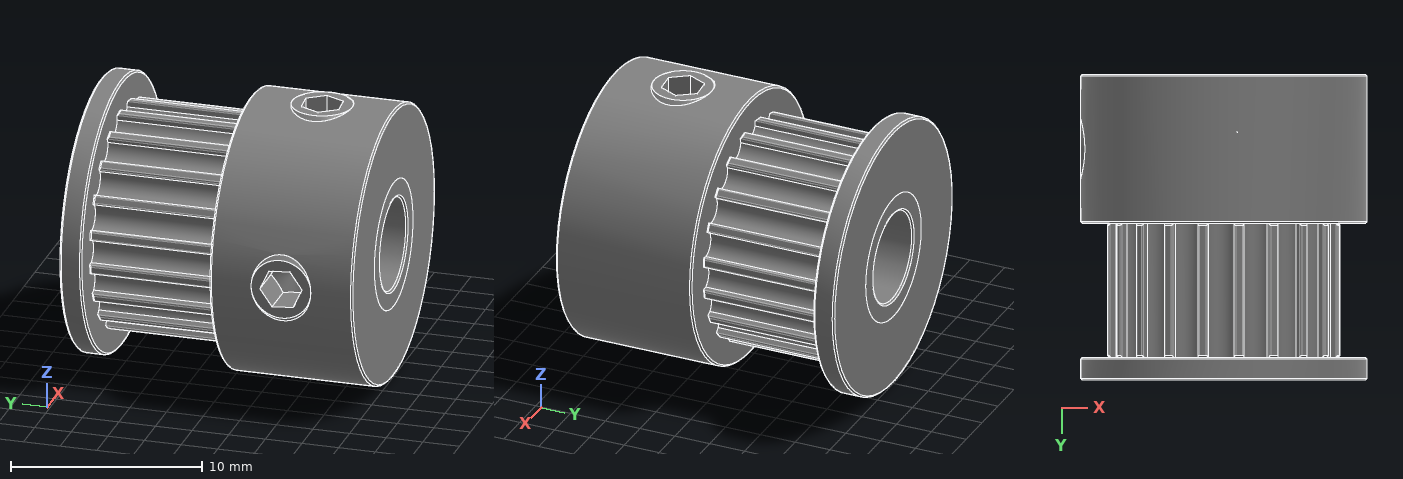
import cadquery as cq
import math


hub_length = 7.8
tooth_length = 7.0
flange_thickness = 1.2
total_length = hub_length + tooth_length + flange_thickness

rim_radius = 7.5
sleeve_radius = 3.5
bore_radius = 2.5
edge_chamfer = 0.1

tooth_count = 20
belt_pitch = 2.0
pitch_line_offset = 0.254
tooth_radius = tooth_count * belt_pitch / (2 * math.pi) - pitch_line_offset
tooth_phase = 1.4
groove_depth = 0.82
flank_depth = 0.42
root_half_width = 0.67
mouth_half_width = 0.7
tooth_tip_fillet = 0.08
tip_tolerance = 0.05

screw_radius = 2.0
screw_chamfer = 0.37
screw_length = rim_radius - sleeve_radius
screw_y = hub_length / 2
socket_across_flats = 2.0
socket_corner_radius = socket_across_flats / math.sqrt(3)
socket_depth = 2.0
socket_turn = 5.0
socket_tip_angle = 118.0

screw_placements = [(0, 0), (90, -90)]


def disc(radius, start_y, length):
    """Plain cylinder on the pulley axis, running toward +Y from start_y."""
    return cq.Workplane("XZ", origin=(0, start_y, 0)).circle(radius).extrude(-length)


def collar(start_y, length):
    """Ring that fits on the sleeve, with both outer edges chamfered."""
    solid = disc(rim_radius, start_y, length).edges().chamfer(edge_chamfer)
    return solid.cut(disc(sleeve_radius, start_y, length))


def groove_cutter():
    """One belt groove at +Z: a round root between two straight flanks that widen outward."""
    root_edge_z = tooth_radius - flank_depth
    root_z = tooth_radius - groove_depth
    above_teeth = tooth_radius + groove_depth
    slope = (mouth_half_width - root_half_width) / flank_depth
    top_half_width = mouth_half_width + slope * groove_depth
    return (
        cq.Workplane("XZ", origin=(0, hub_length, 0))
        .moveTo(-top_half_width, above_teeth)
        .lineTo(-root_half_width, root_edge_z)
        .threePointArc((0, root_z), (root_half_width, root_edge_z))
        .lineTo(top_half_width, above_teeth)
        .close()
        .extrude(-tooth_length)
    )


def chamfered_bore():
    """Cutter for the through bore, flared at both ends by the edge chamfer."""
    mouth_radius = bore_radius + edge_chamfer
    return (
        cq.Workplane("XY")
        .moveTo(0, 0)
        .lineTo(mouth_radius, 0)
        .lineTo(bore_radius, edge_chamfer)
        .lineTo(bore_radius, total_length - edge_chamfer)
        .lineTo(mouth_radius, total_length)
        .lineTo(0, total_length)
        .close()
        .revolve(360, (0, 0, 0), (0, 1, 0))
    )


def is_tooth_tip(edge):
    """True for an edge that lies on the drum's outer surface."""
    middle = edge.Center()
    return math.hypot(middle.x, middle.z) > tooth_radius - tip_tolerance


def make_toothed_sleeve():
    """Toothed drum in one piece with the bored sleeve that carries the hub and the flange."""
    drum = disc(tooth_radius, hub_length, tooth_length)
    groove = groove_cutter()
    for index in range(tooth_count):
        angle = tooth_phase + index * 360 / tooth_count
        drum = drum.cut(groove.rotate((0, 0, 0), (0, 1, 0), angle))
    drum = drum.edges("|Y").filter(is_tooth_tip).fillet(tooth_tip_fillet)

    drum = drum.intersect(disc(tooth_radius, hub_length, tooth_length).edges().chamfer(edge_chamfer))

    return drum.union(disc(sleeve_radius, 0, total_length)).cut(chamfered_bore())


def screw_blank():
    """Set screw without its socket, standing along +Z with its flat head level with the hub rim."""
    return (
        cq.Workplane("XY", origin=(0, screw_y, rim_radius - screw_length))
        .circle(screw_radius)
        .extrude(screw_length)
        .faces(">Z")
        .chamfer(screw_chamfer)
    )


def hex_socket():
    """Cutter for the hexagonal key socket, with a conical bottom left by the drill."""
    tip_depth = socket_corner_radius / math.tan(math.radians(socket_tip_angle / 2))
    floor_z = rim_radius - socket_depth
    drilled = (
        cq.Workplane("XZ", origin=(0, screw_y, 0))
        .moveTo(0, rim_radius)
        .lineTo(socket_corner_radius, rim_radius)
        .lineTo(socket_corner_radius, floor_z)
        .lineTo(0, floor_z - tip_depth)
        .close()
        .revolve(360, (0, 0, 0), (0, 1, 0))
    )
    hexagon = (
        cq.Workplane("XY", origin=(0, screw_y, rim_radius))
        .polygon(6, 2 * socket_corner_radius)
        .extrude(-(socket_depth + tip_depth))
        .rotate((0, screw_y, 0), (0, screw_y, 1), socket_turn)
    )
    return hexagon.intersect(drilled)


def place_screw(upright, roll, tilt):
    """Turn an upright screw about its own axis, then swing it round the pulley axis."""
    rolled = upright.rotate((0, screw_y, 0), (0, screw_y, 1), roll)
    return rolled.rotate((0, 0, 0), (0, 1, 0), tilt)


def make_hub():
    """Clamping hub with a matching recess for each set screw."""
    hub = collar(0, hub_length)
    for roll, tilt in screw_placements:
        hub = hub.cut(place_screw(screw_blank(), roll, tilt))
    return hub


def make_screws():
    """One set screw, with its socket, at each screw placement."""
    upright = screw_blank().cut(hex_socket())
    return [place_screw(upright, roll, tilt) for roll, tilt in screw_placements]


toothed_sleeve = make_toothed_sleeve()
hub = make_hub()
flange = collar(hub_length + tooth_length, flange_thickness)
screws = make_screws()

result = cq.Compound.makeCompound(
    [
        toothed_sleeve.val(),
        hub.val(),
        flange.val(),
        *[screw.val() for screw in screws],
    ]
)